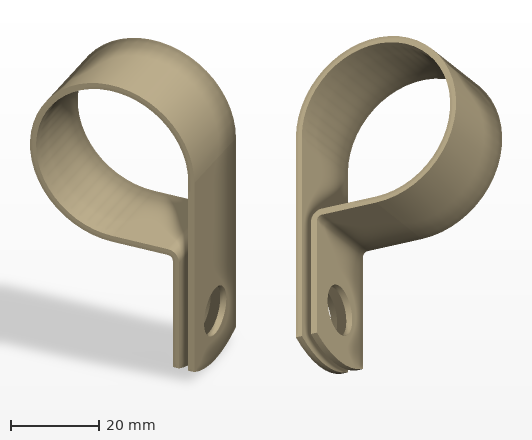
import cadquery as cq
import math

height = 72.95
width = 22.25
loop_diameter = 41.15
thickness = 1.5
leg_gap = 2.3
bend_inner_radius = 1.25
hole_diameter = 11.9
hole_height = 12.8
tip_sag = 2.6

outer_radius = loop_diameter / 2
inner_radius = outer_radius - thickness
loop_z = height - outer_radius
shelf_bottom = loop_z - outer_radius
shelf_top = shelf_bottom + thickness
short_leg_right = inner_radius - leg_gap
short_leg_left = short_leg_right - thickness
bend_outer_radius = bend_inner_radius + thickness
bend_x = short_leg_left - bend_inner_radius
bend_z = shelf_bottom - bend_inner_radius
diagonal = math.sqrt(0.5)


def make_strap():
    """Bent strip: long leg, three-quarter loop, flat shelf and short leg."""
    profile = (
        cq.Workplane("XZ")
        .moveTo(outer_radius, 0)
        .lineTo(outer_radius, loop_z)
        .threePointArc((-outer_radius * diagonal, loop_z + outer_radius * diagonal), (0, shelf_bottom))
        .lineTo(bend_x, shelf_bottom)
        .threePointArc(
            (bend_x + bend_inner_radius * diagonal, bend_z + bend_inner_radius * diagonal),
            (short_leg_left, bend_z),
        )
        .lineTo(short_leg_left, 0)
        .lineTo(short_leg_right, 0)
        .lineTo(short_leg_right, bend_z)
        .threePointArc(
            (bend_x + bend_outer_radius * diagonal, bend_z + bend_outer_radius * diagonal),
            (bend_x, shelf_top),
        )
        .lineTo(0, shelf_top)
        .threePointArc((-inner_radius * diagonal, loop_z + inner_radius * diagonal), (inner_radius, loop_z))
        .lineTo(inner_radius, 0)
        .close()
    )
    return profile.extrude(width / 2, both=True)


def make_side_outline():
    """Block across the whole strap whose lower edge is the convex leg tip."""
    return (
        cq.Workplane("YZ")
        .workplane(offset=-outer_radius)
        .moveTo(-width / 2, height)
        .lineTo(-width / 2, tip_sag)
        .threePointArc((0, 0), (width / 2, tip_sag))
        .lineTo(width / 2, height)
        .close()
        .extrude(loop_diameter)
    )


def make_bolt_hole():
    """Cylinder through both legs."""
    return (
        cq.Workplane("YZ")
        .center(0, hole_height)
        .circle(hole_diameter / 2)
        .extrude(loop_diameter)
    )


result = make_strap().intersect(make_side_outline()).cut(make_bolt_hole())